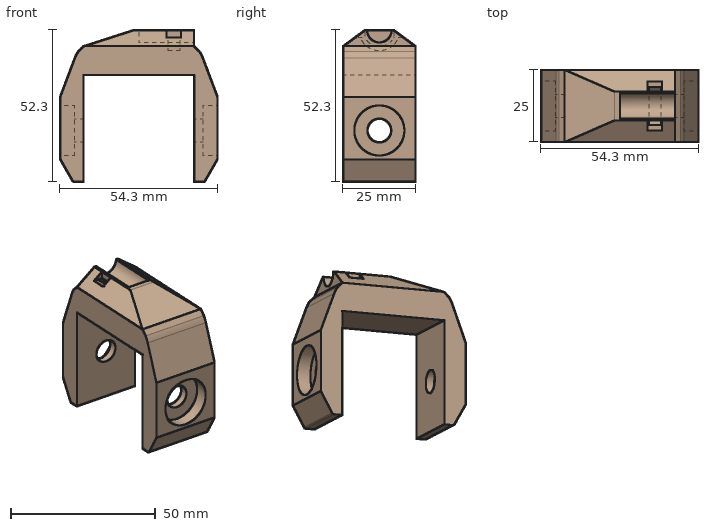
import cadquery as cq

half_width = 27.15
half_gap = 19.05
depth = 25.0
height = 52.3
bridge_bottom = 36.75
shoulder_height = 46.75

foot_half_width = 22.7
foot_round_radius = 0.75
side_bottom = 7.75
side_top = 29.3
arc_bottom_x, arc_bottom_z = 22.1, 42.75
arc_top_x, arc_top_z = 20.9, 44.95

ridge_start = -1.9
ridge_half_width = 5.0

groove_start = 0.1
groove_radius = 4.25

pocket_start, pocket_end = 9.5, 14.6
pocket_depth = 2.5
tunnel_width = 4.1
tunnel_inner_radius = 5.6
tunnel_outer_radius = 7.05

bore_height = 17.7
bore_diameter = 8.1
counterbore_diameter = 17.25
counterbore_depth = 5.0


def make_leg():
    """Leg on the +X side, with a rounded shoulder and a tapered foot."""
    leg = (
        cq.Workplane("XZ")
        .moveTo(half_gap, 0)
        .lineTo(foot_half_width, 0)
        .lineTo(half_width, side_bottom)
        .lineTo(half_width, side_top)
        .lineTo(arc_bottom_x, arc_bottom_z)
        .tangentArcPoint((arc_top_x, arc_top_z), relative=False)
        .lineTo(half_gap, shoulder_height)
        .close()
        .extrude(depth / 2, both=True)
    )
    foot_edge = cq.selectors.NearestToPointSelector((foot_half_width, 0, 0))
    leg = leg.edges(foot_edge).fillet(foot_round_radius)
    bore = (
        cq.Workplane("YZ", origin=(half_gap, 0, bore_height))
        .circle(bore_diameter / 2)
        .extrude(half_width - half_gap)
    )
    counterbore = (
        cq.Workplane("YZ", origin=(half_width, 0, bore_height))
        .circle(counterbore_diameter / 2)
        .extrude(-counterbore_depth)
    )
    return leg.cut(bore).cut(counterbore)


def make_bridge():
    return (
        cq.Workplane("XY", origin=(0, 0, bridge_bottom))
        .rect(2 * half_gap, depth)
        .extrude(shoulder_height - bridge_bottom)
    )


def make_roof():
    """Intersect the side and end outlines to form the hipped roof."""
    side_outline = (
        cq.Workplane("XZ")
        .polyline([
            (-half_gap, shoulder_height),
            (half_gap, shoulder_height),
            (half_gap, height),
            (ridge_start, height),
        ])
        .close()
        .extrude(depth / 2, both=True)
    )
    end_outline = (
        cq.Workplane("YZ")
        .polyline([
            (-depth / 2, shoulder_height),
            (depth / 2, shoulder_height),
            (ridge_half_width, height),
            (-ridge_half_width, height),
        ])
        .close()
        .extrude(half_gap, both=True)
    )
    return side_outline.intersect(end_outline)


def make_groove():
    return (
        cq.Workplane("YZ", origin=(groove_start, 0, height))
        .circle(groove_radius)
        .extrude(half_gap - groove_start)
    )


def make_strap_slot():
    pocket_floor = height - pocket_depth
    pocket_middle = (pocket_start + pocket_end) / 2
    pocket_reach = depth / 2 - ridge_half_width
    slot = (
        cq.Workplane("YZ", origin=(pocket_middle - tunnel_width / 2, 0, height))
        .circle(tunnel_outer_radius)
        .circle(tunnel_inner_radius)
        .extrude(tunnel_width)
    )
    below_floor = (
        cq.Workplane("XY", origin=(pocket_middle, 0, pocket_floor))
        .rect(tunnel_width, depth)
        .extrude(-tunnel_outer_radius)
    )
    slot = slot.intersect(below_floor)
    for side in (-1, 1):
        pocket = (
            cq.Workplane("XY", origin=(pocket_middle, 0, pocket_floor))
            .center(0, side * (ridge_half_width + pocket_reach / 2))
            .rect(pocket_end - pocket_start, pocket_reach)
            .extrude(pocket_depth)
        )
        slot = slot.union(pocket)
    return slot


leg = make_leg()
result = make_bridge().union(make_roof()).union(leg).union(leg.mirror("YZ"))
result = result.cut(make_groove()).cut(make_strap_slot())